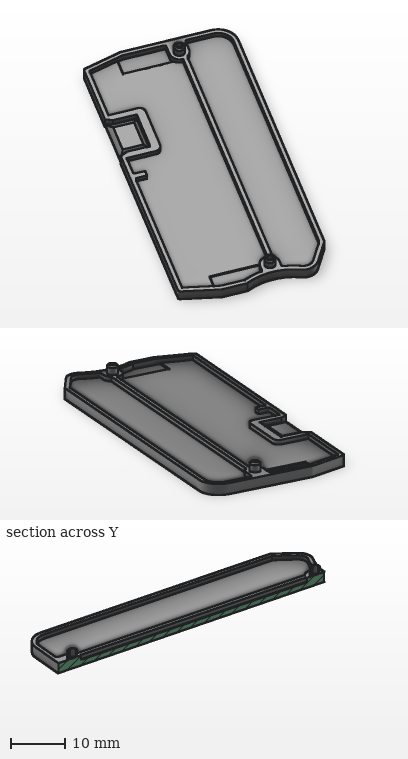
import cadquery as cq
import math

length = 61.1
width = 29.3
plate_height = 2.2
total_height = 4.0
wall = 0.9
cavity_depth = 0.9

right_side_x = 60.95
taper_inset = 1.95
taper_height = 7.75
bottom_corner_radius = 0.5
top_left_radius = 4.0
shoulder_start_x = 55.55
shoulder_end_y = 25.35
shoulder_radius = 2.8
waist_radius = 12.5
waist_x = 59.75

pin_y = 18.1
pin_inset = 3.25
pin_xs = (pin_inset, right_side_x - pin_inset)
pin_radius = 1.05
pin_hole_radius = 0.55
pin_chamfer = 0.35
boss_radius = 1.9
boss_fillet = 0.35
rib_bottom_y = 18.2
rib_thickness = 0.9

recess_depth = 0.25
recess_end_x = 4.45
recess_bottom_y = 6.85

surround_left_x = 14.05
surround_right_x = 25.05
surround_top_y = 7.75
surround_radius = 1.2
window_left_x = 15.45
window_right_x = 23.6
window_top_y = 5.9
flare_width = 0.7
flare_height = 1.35
plug_height = 1.7
plateau_left_x = 16.75
plateau_right_x = 22.4
plateau_bottom_y = 1.0
plateau_top_y = 5.0
front_run = 1.0
back_run = 1.4
side_run = 1.9
undercut_height = 0.55
undercut_depth = 0.7

tab_left_x = 29.1
tab_width = 1.15
tab_top_y = 3.2
tab_root_radius = 0.35

floor_z = plate_height - cavity_depth


def box_between(x0, x1, y0, y1, z0, z1):
    """Box given by its limits along each axis."""
    return cq.Workplane("XY", origin=(x0, y0, z0)).box(x1 - x0, y1 - y0, z1 - z0, centered=False)


def round_corners(body, corners, z):
    """Fillet the upright edge nearest to each corner, given as (x, y, radius), at mid-height z."""
    for x, y, radius in corners:
        body = body.edges("|Z").edges(cq.NearestToPointSelector((x, y, z))).fillet(radius)
    return body


def waist_point(y):
    """Point of the concave waist arc on the right side at the given y."""
    return (waist_x + waist_radius - math.sqrt(waist_radius**2 - (y - pin_y) ** 2), y)


def make_plate():
    """Solid plate with tapered foot, sloped shoulder and concave waist."""
    waist_half_height = math.sqrt(waist_radius**2 - (waist_x + waist_radius - right_side_x) ** 2)
    shoulder_corner = waist_point(shoulder_end_y)
    plate = (
        cq.Workplane("XY")
        .moveTo(taper_inset, 0)
        .lineTo(right_side_x - taper_inset, 0)
        .lineTo(right_side_x, taper_height)
        .lineTo(right_side_x, pin_y - waist_half_height)
        .threePointArc((waist_x, pin_y), shoulder_corner)
        .lineTo(shoulder_start_x, width)
        .lineTo(0, width)
        .lineTo(0, taper_height)
        .close()
        .extrude(plate_height)
    )
    rounded_corners = [
        (*shoulder_corner, shoulder_radius),
        (0, width, top_left_radius),
        (taper_inset, 0, bottom_corner_radius),
        (right_side_x - taper_inset, 0, bottom_corner_radius),
    ]
    return round_corners(plate, rounded_corners, plate_height / 2)


def make_islands():
    """Everything inside the wall that stays at full height."""
    rib_top_y = rib_bottom_y + rib_thickness
    islands = box_between(*pin_xs, rib_bottom_y, rib_top_y, floor_z, plate_height)
    for x, wall_x in zip(pin_xs, (0, length)):
        boss = cq.Workplane("XY", origin=(x, pin_y, floor_z)).circle(boss_radius).extrude(cavity_depth)
        bridge = box_between(
            min(x, wall_x), max(x, wall_x), pin_y - boss_radius, pin_y + boss_radius, floor_z, plate_height
        )
        islands = islands.union(boss).union(bridge)
    surround = box_between(surround_left_x, surround_right_x, 0, surround_top_y, floor_z, plate_height)
    surround = surround.edges("|Z and >Y").fillet(surround_radius)
    tab = box_between(tab_left_x, tab_left_x + tab_width, 0, tab_top_y, floor_z, plate_height)
    return islands.union(surround).union(tab)


def make_cavity(plate):
    """Space inside the wall, around the islands, with rounded island roots."""
    inner_outline = plate.faces("<Z").wires().val().offset2D(-wall)[0]
    cavity = cq.Workplane(inner_outline).toPending().extrude(cavity_depth).translate((0, 0, floor_z))
    cavity = cavity.cut(make_islands())
    middle_z = floor_z + cavity_depth / 2
    right_root_y = pin_y + boss_radius
    roots = [
        (wall, pin_y - boss_radius, boss_fillet),
        (wall, right_root_y, boss_fillet),
        (waist_point(right_root_y)[0] - wall, right_root_y, boss_fillet),
        (tab_left_x, wall, tab_root_radius),
        (tab_left_x + tab_width, wall, tab_root_radius),
    ]
    return round_corners(cavity, roots, middle_z)


def make_recesses(cavity):
    """Shallow pockets of the floor at both ends, bounded by the cavity outline."""
    sunk = cavity.translate((0, 0, -recess_depth))
    left = box_between(0, recess_end_x, recess_bottom_y, pin_y, 0, plate_height)
    right = box_between(right_side_x - recess_end_x, length, recess_bottom_y, pin_y, 0, plate_height)
    return sunk.intersect(left.union(right))


def make_window():
    """Through opening in the bottom wall that flares towards the outside."""
    return (
        cq.Workplane("XY")
        .moveTo(window_left_x - flare_width, 0)
        .lineTo(window_left_x, flare_height)
        .lineTo(window_left_x, window_top_y)
        .lineTo(window_right_x, window_top_y)
        .lineTo(window_right_x, flare_height)
        .lineTo(window_right_x + flare_width, 0)
        .close()
        .extrude(plate_height)
    )


def make_plug(window):
    """Plateau with four sloping sides filling the window, undercut below its front lip."""

    def section(z):
        drop = plug_height - z
        x0 = plateau_left_x - side_run * drop
        x1 = plateau_right_x + side_run * drop
        y0 = plateau_bottom_y - front_run * drop
        y1 = plateau_top_y + back_run * drop
        return cq.Wire.makePolygon(
            [cq.Vector(x, y, z) for x, y in ((x0, y0), (x1, y0), (x1, y1), (x0, y1))],
            close=True,
        )

    frustum = cq.Workplane(cq.Solid.makeLoft([section(0), section(plug_height)], True))
    undercut = box_between(surround_left_x, surround_right_x, 0, undercut_depth, 0, undercut_height)
    return window.intersect(frustum).cut(undercut)


def make_pin(x):
    """Hollow pin standing on a boss, with a chamfered tip."""
    pin = (
        cq.Workplane("XY", origin=(x, pin_y, floor_z))
        .circle(pin_radius)
        .extrude(total_height - floor_z)
        .faces(">Z")
        .chamfer(pin_chamfer)
    )
    hole = (
        cq.Workplane("XY", origin=(x, pin_y, plate_height))
        .circle(pin_hole_radius)
        .extrude(total_height - plate_height)
    )
    return pin.cut(hole)


plate = make_plate()
cavity = make_cavity(plate)
window = make_window()
result = plate.cut(cavity).cut(make_recesses(cavity)).cut(window).union(make_plug(window))
for x in pin_xs:
    result = result.union(make_pin(x))